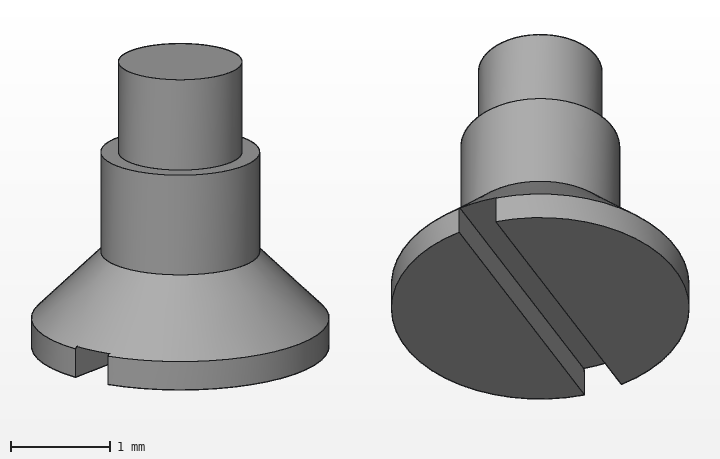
import cadquery as cq

total_height = 3.0
head_diameter = 3.0

rim_height = 0.3
shank_diameter = 1.602
cone_height = (head_diameter - shank_diameter) / 2

pin_diameter = 1.248
pin_length = 0.95

slot_width = 0.408
slot_depth = 0.32


def turned_body():
    """Revolve the half profile about the Z axis."""
    head_radius = head_diameter / 2
    shank_radius = shank_diameter / 2
    pin_radius = pin_diameter / 2
    cone_top = rim_height + cone_height
    shoulder = total_height - pin_length
    profile = (
        cq.Workplane("XZ")
        .moveTo(0, 0)
        .lineTo(head_radius, 0)
        .lineTo(head_radius, rim_height)
        .lineTo(shank_radius, cone_top)
        .lineTo(shank_radius, shoulder)
        .lineTo(pin_radius, shoulder)
        .lineTo(pin_radius, total_height)
        .lineTo(0, total_height)
        .close()
    )
    return profile.revolve(360, (0, 0, 0), (0, 1, 0))


def driver_slot():
    """Block that opens the slot through the full width of the head."""
    return cq.Workplane("XY").rect(slot_width, 2 * head_diameter).extrude(slot_depth)


result = turned_body().cut(driver_slot())